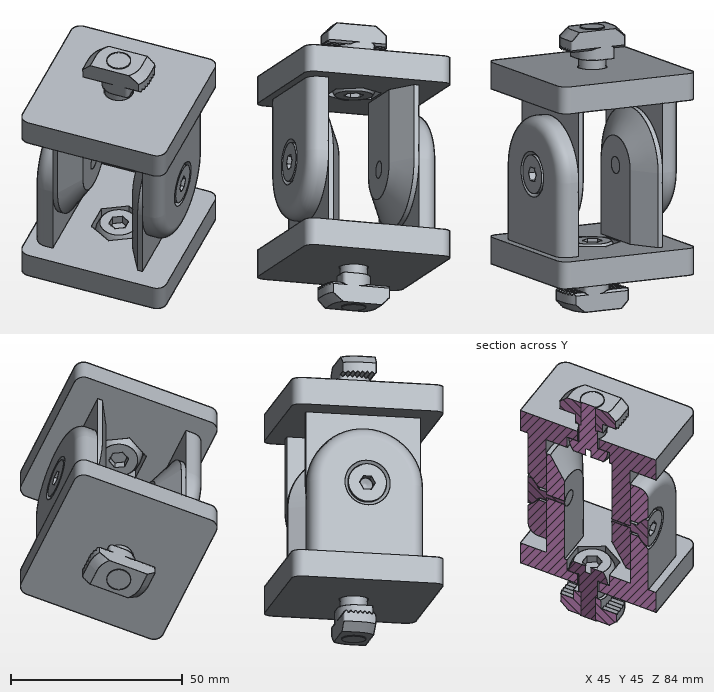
import cadquery as cq
import math


plate_size = 45.0
plate_thickness = 8.0
plate_corner_radius = 3.0
plate_face_z = -22.0
plate_back_z = plate_face_z - plate_thickness

arm_radius = 17.0
arm_outer_x = 20.0
arm_contact_x = 14.0
arm_inner_x = 7.75
outer_arm_fillet = 3.5
inner_arm_rim = 1.5
inner_arm_bevel_angle = 60.0
inner_arm_bevel_depth = arm_contact_x - arm_inner_x - inner_arm_rim
inner_arm_bevel_width = inner_arm_bevel_depth * math.tan(math.radians(inner_arm_bevel_angle))

screw_diameter = 6.0
screw_thread_diameter = 5.0
screw_clearance_diameter = 7.0
screw_head_diameter = 11.34
countersink_diameter = 13.44
socket_across_flats = 4.0
socket_depth = 2.5
socket_tip_depth = 1.0
hex_corner_ratio = 2 / math.sqrt(3)

bolt_diameter = 8.0
bolt_clearance_diameter = 8.5
bolt_thread_diameter = 7.0
bolt_head_diameter = 14.0
bolt_head_top_diameter = 11.05
bolt_head_height = 4.35
bolt_head_bulge = 0.35
bolt_socket_across_flats = 5.0
bolt_socket_depth = 2.5
bolt_pocket_across_flats = 14.0
bolt_pocket_depth = 4.0
bolt_seat_z = plate_face_z - bolt_pocket_depth
bolt_end_z = -42.0

nut_length = 19.0
nut_width = 9.8
nut_neck_z = -32.85
nut_teeth_z = -35.85
nut_end_z = -41.7
nut_end_chamfer = 2.5
nut_corner_fillet = 0.5
neck_corner_fillet = 1.0
tooth_count = 7
tooth_pitch = nut_width / tooth_count
tooth_depth = 0.7


def turn_to_upper_half(body):
    return body.rotate((0, 0, 0), (0, 1, 0), 180)


def arm_blank(start_x, thickness):
    """Arm with a round top about the pivot, standing on the plate."""
    return (
        cq.Workplane("YZ", origin=(start_x, 0, 0))
        .moveTo(-arm_radius, plate_face_z)
        .lineTo(-arm_radius, 0)
        .threePointArc((0, arm_radius), (arm_radius, 0))
        .lineTo(arm_radius, plate_face_z)
        .close()
        .extrude(thickness)
    )


def make_outer_arm():
    arm = arm_blank(-arm_outer_x, arm_outer_x - arm_contact_x)
    rim = arm.faces("<X").edges("not(<Z)")
    return rim.fillet(outer_arm_fillet)


def make_inner_arm():
    """Arm whose inner face is bevelled around the sides and the round top."""
    arm = arm_blank(arm_inner_x, arm_contact_x - arm_inner_x)
    half_width = arm_radius - inner_arm_bevel_width
    bevel_end_x = arm_inner_x + inner_arm_bevel_depth
    side_profile = [
        (bevel_end_x, arm_radius),
        (arm_inner_x, half_width),
        (arm_inner_x, arm_radius),
    ]
    for side in (1, -1):
        wedge = (
            cq.Workplane("XY", origin=(0, 0, plate_face_z))
            .polyline([(x, side * y) for x, y in side_profile])
            .close()
            .extrude(-plate_face_z)
        )
        arm = arm.cut(wedge)
    round_top = (
        cq.Workplane("XY")
        .polyline(side_profile)
        .close()
        .revolve(360, (0, 0, 0), (1, 0, 0))
    )
    upper_space = cq.Workplane("XY").box(
        4 * arm_radius, 4 * arm_radius, 2 * arm_radius, centered=(True, True, False)
    )
    return arm.cut(round_top.intersect(upper_space))


def make_screw_hole():
    """Countersunk clearance hole through the outer arm."""
    top_radius = countersink_diameter / 2
    hole_radius = screw_clearance_diameter / 2
    return (
        cq.Workplane("XY")
        .moveTo(-arm_outer_x, 0)
        .lineTo(-arm_outer_x, top_radius)
        .lineTo(-arm_outer_x + top_radius - hole_radius, hole_radius)
        .lineTo(-arm_contact_x, hole_radius)
        .lineTo(-arm_contact_x, 0)
        .close()
        .revolve(360, (0, 0, 0), (1, 0, 0))
    )


def hexagon(base_z, across_flats, height):
    """Hexagonal prism along Z with two flats facing +X and -X."""
    return (
        cq.Workplane("XY", origin=(0, 0, base_z))
        .transformed(rotate=(0, 0, 30))
        .polygon(6, across_flats * hex_corner_ratio)
        .extrude(height)
    )


def make_bracket():
    plate = (
        cq.Workplane("XY", origin=(0, 0, plate_back_z))
        .rect(plate_size, plate_size)
        .extrude(plate_thickness)
        .edges("|Z")
        .fillet(plate_corner_radius)
    )
    bolt_hole = (
        cq.Workplane("XY", origin=(0, 0, plate_back_z))
        .circle(bolt_clearance_diameter / 2)
        .extrude(plate_thickness)
    )
    bolt_pocket = hexagon(bolt_seat_z, bolt_pocket_across_flats, bolt_pocket_depth)
    threaded_hole = (
        cq.Workplane("YZ", origin=(arm_inner_x, 0, 0))
        .circle(screw_thread_diameter / 2)
        .extrude(arm_contact_x - arm_inner_x)
    )
    return (
        plate.cut(bolt_hole)
        .cut(bolt_pocket)
        .union(make_outer_arm().cut(make_screw_hole()))
        .union(make_inner_arm().cut(threaded_hole))
    )


def make_pivot_screw():
    """Countersunk screw, flush with the outer arm, its head rim a plain cylinder."""
    head_radius = screw_head_diameter / 2
    shank_radius = screw_diameter / 2
    thread_radius = screw_thread_diameter / 2
    head_x = -arm_outer_x
    cone_start_x = head_x + (countersink_diameter - screw_head_diameter) / 2
    screw = (
        cq.Workplane("XY")
        .moveTo(head_x, 0)
        .lineTo(head_x, head_radius)
        .lineTo(cone_start_x, head_radius)
        .lineTo(cone_start_x + head_radius - shank_radius, shank_radius)
        .lineTo(-arm_contact_x, shank_radius)
        .lineTo(-arm_contact_x, thread_radius)
        .lineTo(-arm_inner_x, thread_radius)
        .lineTo(-arm_inner_x, 0)
        .close()
        .revolve(360, (0, 0, 0), (1, 0, 0))
    )
    socket = (
        cq.Workplane("YZ", origin=(head_x, 0, 0))
        .polygon(6, socket_across_flats * hex_corner_ratio)
        .extrude(socket_depth)
    )
    socket_tip = (
        cq.Workplane("XY")
        .moveTo(head_x + socket_depth, 0)
        .lineTo(head_x + socket_depth, socket_across_flats / 2)
        .lineTo(head_x + socket_depth + socket_tip_depth, 0)
        .close()
        .revolve(360, (0, 0, 0), (1, 0, 0))
    )
    return screw.cut(socket).cut(socket_tip)


def make_bolt():
    """Bolt with a domed socket head in the plate pocket and its thread through the hammer nut."""
    head_radius = bolt_head_diameter / 2
    top_radius = bolt_head_top_diameter / 2
    head_top_z = bolt_seat_z + bolt_head_height
    head = (
        cq.Workplane("XZ")
        .moveTo(0, bolt_seat_z)
        .lineTo(head_radius, bolt_seat_z)
        .sagittaArc((top_radius, head_top_z), -bolt_head_bulge)
        .lineTo(0, head_top_z)
        .close()
        .revolve(360, (0, 0, 0), (0, 1, 0))
    )
    socket = hexagon(head_top_z - bolt_socket_depth, bolt_socket_across_flats, bolt_socket_depth)
    shank = (
        cq.Workplane("XY", origin=(0, 0, nut_neck_z))
        .circle(bolt_diameter / 2)
        .extrude(bolt_seat_z - nut_neck_z)
    )
    thread = (
        cq.Workplane("XY", origin=(0, 0, bolt_end_z))
        .circle(bolt_thread_diameter / 2)
        .extrude(nut_neck_z - bolt_end_z)
    )
    return head.cut(socket).union(shank).union(thread)


def two_corner_block(length, base_z, height, corner_fillet, chamfer, round_side):
    """Block with two opposite quadrants turned to a circle of the block's length.

    The rounded quadrants are +X+Y and -X-Y when round_side is 1, and -X+Y and +X-Y when it is -1.
    The chamfer, if any, runs around both ends of the lower face.
    """
    radius = length / 2
    half_width = nut_width / 2
    arc_end_x = math.sqrt(radius**2 - half_width**2)
    arc_middle_angle = math.asin(half_width / radius) / 2
    arc_middle_x = radius * math.cos(arc_middle_angle)
    arc_middle_y = radius * math.sin(arc_middle_angle)
    outline = cq.Workplane("XY", origin=(0, 0, base_z)).moveTo(round_side * radius, -half_width)
    for turn in (1, -1):
        side = turn * round_side
        arc_middle = (side * arc_middle_x, turn * arc_middle_y)
        arc_end = (side * arc_end_x, turn * half_width)
        outline = (
            outline.lineTo(side * radius, 0)
            .threePointArc(arc_middle, arc_end)
            .lineTo(-side * radius, turn * half_width)
        )
    body = outline.close().extrude(height)
    if chamfer > 0:
        body = body.faces("<Z").edges("%CIRCLE or |Y").chamfer(chamfer)
    corner_block = (
        cq.Workplane("XY", origin=(0, 0, base_z))
        .rect(length, nut_width)
        .extrude(height)
        .edges("|Z")
        .fillet(corner_fillet)
    )
    return body.intersect(corner_block)


def make_hammer_nut():
    """T-slot nut with two rounded corners so that it can turn in the slot."""
    head_height = nut_teeth_z - nut_end_z
    head = two_corner_block(nut_length, nut_end_z, head_height, nut_corner_fillet, nut_end_chamfer, 1)
    for tooth in range(tooth_count + 1):
        groove_y = tooth * tooth_pitch - nut_width / 2
        groove = (
            cq.Workplane("YZ", origin=(-nut_length / 2, 0, 0))
            .moveTo(groove_y - tooth_pitch / 2, nut_teeth_z)
            .lineTo(groove_y, nut_teeth_z - tooth_depth)
            .lineTo(groove_y + tooth_pitch / 2, nut_teeth_z)
            .close()
            .extrude(nut_length)
        )
        head = head.cut(groove)
    neck_base_z = nut_teeth_z - tooth_depth
    neck_height = nut_neck_z - neck_base_z
    neck = two_corner_block(nut_width, neck_base_z, neck_height, neck_corner_fillet, 0, -1)
    bore = (
        cq.Workplane("XY", origin=(0, 0, nut_end_z))
        .circle(bolt_thread_diameter / 2)
        .extrude(nut_neck_z - nut_end_z)
    )
    return head.union(neck).cut(bore)


lower_bodies = [make_bracket(), make_pivot_screw(), make_bolt(), make_hammer_nut()]
upper_bodies = [turn_to_upper_half(body) for body in lower_bodies]
result = cq.Compound.makeCompound([body.val() for body in lower_bodies + upper_bodies])